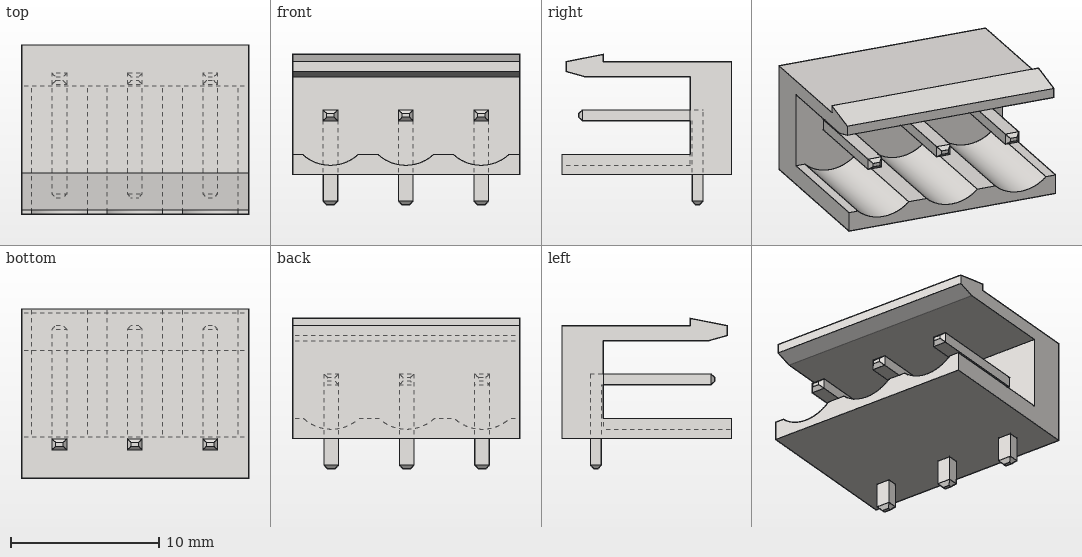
import cadquery as cq


pin_count = 3
pitch = 5.08
pin_width = 1.0
pin_thickness = 0.75
pin_tail = 2.04
pin_axis_height = 4.0
pin_reach = 8.02
tip_length = 0.27
tip_inset = 0.25

housing_width = 15.3
end_margin = 2.54
housing_depth = 11.43
housing_height = 7.62
back_y = 2.29
wall_thickness = 2.79
floor_thickness = 1.37
roof_thickness = 1.02
roof_setback = 0.28
roof_lip_drop = 0.67
roof_chamfer_run = 1.25
ridge_height = 0.5
ridge_run = 2.52

groove_width = 3.76
groove_depth = 0.74

left_x = -(pin_count - 1) / 2 * pitch - end_margin
front_y = back_y - housing_depth
wall_face_y = back_y - wall_thickness
roof_front_y = front_y + roof_setback
roof_underside_z = housing_height - roof_thickness
pin_positions = [left_x + end_margin + i * pitch for i in range(pin_count)]


def side_profile(points, start_x, width):
    """Extrude a closed Y-Z outline toward +X from start_x."""
    return cq.Workplane("YZ", origin=(start_x, 0, 0)).polyline(points).close().extrude(width)


def make_pin_blank():
    """Right-angle pin with square bend, centred on X = 0, with tapered ends."""
    half = pin_thickness / 2
    blade_shoulder_y = -pin_reach + tip_length
    tail_shoulder_z = -pin_tail + tip_length
    bend = side_profile(
        [
            (half, tail_shoulder_z),
            (half, pin_axis_height + half),
            (blade_shoulder_y, pin_axis_height + half),
            (blade_shoulder_y, pin_axis_height - half),
            (-half, pin_axis_height - half),
            (-half, tail_shoulder_z),
        ],
        -pin_width / 2,
        pin_width,
    )
    tip_size = (pin_width - 2 * tip_inset, pin_thickness - 2 * tip_inset)
    tail_tip = (
        cq.Workplane("XY", origin=(0, 0, tail_shoulder_z))
        .rect(pin_width, pin_thickness)
        .workplane(offset=-tip_length)
        .rect(*tip_size)
        .loft(ruled=True)
    )
    blade_tip = (
        cq.Workplane("XZ", origin=(0, blade_shoulder_y, pin_axis_height))
        .rect(pin_width, pin_thickness)
        .workplane(offset=tip_length)
        .rect(*tip_size)
        .loft(ruled=True)
    )
    return bend.union(tail_tip).union(blade_tip)


def make_groove_cutter():
    """Circular segment running along the floor from its front edge to the wall."""
    groove_radius = ((groove_width / 2) ** 2 + groove_depth**2) / (2 * groove_depth)
    return (
        cq.Workplane("XZ", origin=(0, wall_face_y, floor_thickness + groove_radius - groove_depth))
        .circle(groove_radius)
        .extrude(wall_face_y - front_y)
    )


def make_housing(pins):
    """C-shaped shell with a latch ridge, floor grooves and pin passages."""
    ridge_y = roof_front_y + ridge_run
    shell = side_profile(
        [
            (back_y, 0),
            (back_y, housing_height),
            (ridge_y, housing_height),
            (ridge_y, housing_height + ridge_height),
            (roof_front_y, housing_height),
            (roof_front_y, housing_height - roof_lip_drop),
            (roof_front_y + roof_chamfer_run, roof_underside_z),
            (wall_face_y, roof_underside_z),
            (wall_face_y, floor_thickness),
            (front_y, floor_thickness),
            (front_y, 0),
        ],
        left_x,
        housing_width,
    )
    groove_cutter = make_groove_cutter()
    for x in pin_positions:
        shell = shell.cut(groove_cutter.translate((x, 0, 0)))
    for pin in pins:
        shell = shell.cut(pin)
    return shell


pin_blank = make_pin_blank()
pins = [pin_blank.translate((x, 0, 0)) for x in pin_positions]
housing = make_housing(pins)

result = cq.Compound.makeCompound([housing.val(), *[pin.val() for pin in pins]])